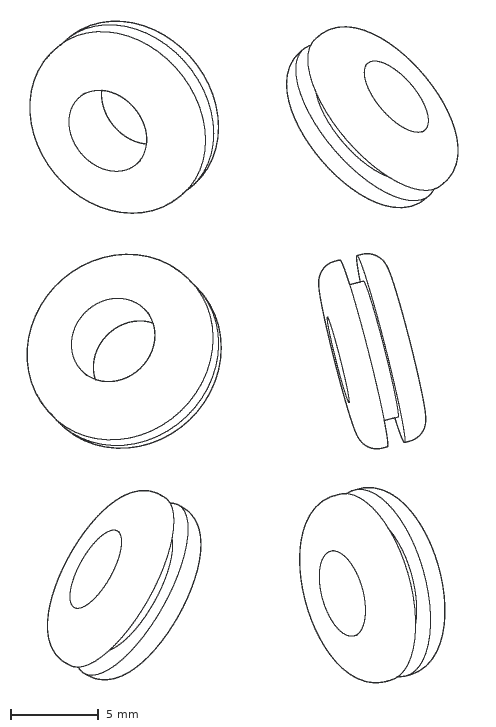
import cadquery as cq

flange_diameter = 11.0
thickness = 4.0
neck_diameter = 8.0
groove_width = 1.0
bore_diameter = 5.0
rim_radius = 1.2


def cylinder(diameter, length):
    """Cylinder along Y, centred on the origin."""
    return cq.Workplane("XZ", origin=(0, length / 2, 0)).circle(diameter / 2).extrude(length)


body = cylinder(flange_diameter, thickness).edges("%CIRCLE").fillet(rim_radius)

groove = cylinder(flange_diameter, groove_width).cut(cylinder(neck_diameter, groove_width))

bore = cylinder(bore_diameter, thickness)

result = body.cut(groove).cut(bore)